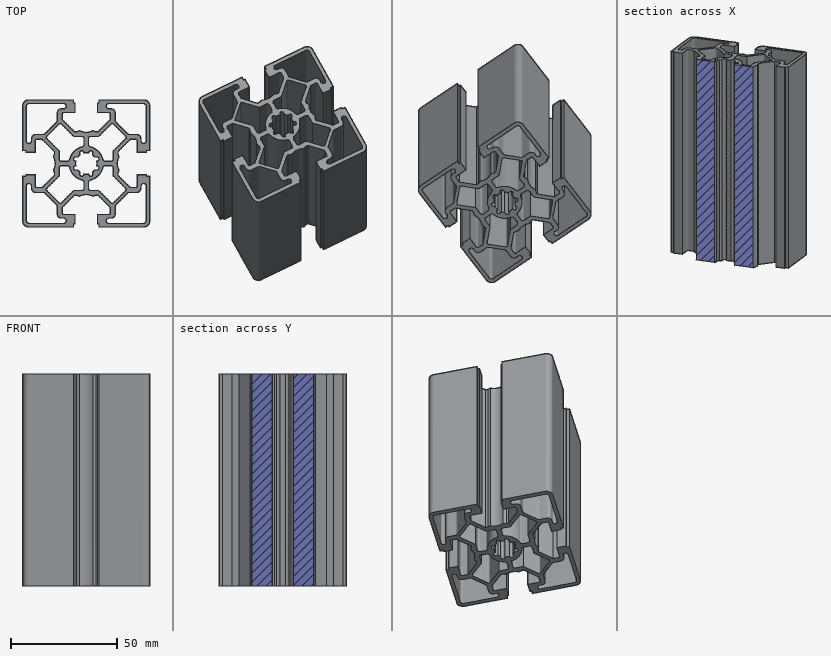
import cadquery as cq
import math

SIZE = 60.0
LENGTH = 100.0
CORNER_RADIUS = 3.0
HALF = SIZE / 2

MOUTH_HALF = 6.0
MOUTH_STEP_DEPTH = 1.5
LIP_GAP_HALF = 5.2
LIP_DEPTH = 6.0
SLOT_HALF = 11.3
SLOT_CORNER_RADIUS = 0.6
SLOT_FLOOR = 15.0
SLOT_SLANT = 9.4

RIDGE_OFFSET = 3.1
RIDGE_FOOT = 4.5
RIDGE_TOP = 15.5
TROUGH_BOTTOM = 14.7

OUTER_WALL = 1.8
CHAMBER_CORNER_RADIUS = CORNER_RADIUS - OUTER_WALL
TAIL_END = 9.5
TAIL_WIDTH = 2.4
TAIL_END_RADIUS = 1.1
SLOT_WALL = 2.4
BEND_RADIUS = 2.0
KNEE_RADIUS = 1.5
DIAGONAL_SUM = 33.5

DIAGONAL_WALL = 1.5
FLOOR_WALL = 2.3
SLOT_SIDE_WALL = 1.8
DIAMOND_TIP_RADIUS = 0.8
WEB_HALF = 1.1
WEB_FILLET = 1.0

CORE_RADIUS = 8.1
BORE_RADIUS = 5.0
GROOVE_INNER = 1.2
GROOVE_OUTER = 3.0
GROOVE_REACH = 6.0


def mirrored(points):
    """Points reflected across the x = y diagonal, in reverse order."""
    return [(y, x) for x, y in reversed(points)]


def prism(points):
    return cq.Workplane("XY").polyline(points).close().extrude(LENGTH)


def round_edges(solid, points, radius):
    """Round the lengthwise edges standing on the given points."""
    for x, y in points:
        nearest = cq.selectors.NearestToPointSelector((x, y, LENGTH / 2))
        solid = solid.edges("|Z").edges(nearest).fillet(radius)
    return solid


def slot():
    """T-slot opening on the +Y side."""
    lip_top = HALF - MOUTH_STEP_DEPTH
    lip_bottom = HALF - LIP_DEPTH
    right_side = [
        (RIDGE_OFFSET, RIDGE_TOP),
        (RIDGE_FOOT, SLOT_FLOOR),
        (SLOT_FLOOR - SLOT_SLANT, SLOT_FLOOR),
        (SLOT_HALF, SLOT_HALF + SLOT_SLANT),
        (SLOT_HALF, lip_bottom),
        (LIP_GAP_HALF, lip_bottom),
        (LIP_GAP_HALF, lip_top),
        (MOUTH_HALF, lip_top),
        (MOUTH_HALF, HALF),
    ]
    left_side = [(-x, y) for x, y in reversed(right_side)]
    outline = cq.Workplane("XY").polyline(right_side + left_side)
    trough_middle = (0, TROUGH_BOTTOM)
    cutter = outline.threePointArc(trough_middle, right_side[0]).close().extrude(LENGTH)
    corners = [(SLOT_HALF, lip_bottom), (-SLOT_HALF, lip_bottom)]
    return round_edges(cutter, corners, SLOT_CORNER_RADIUS)


def corner_chamber():
    """Hollow in the +X +Y corner."""
    outer = HALF - OUTER_WALL
    inner = outer - TAIL_WIDTH
    side = SLOT_HALF + SLOT_WALL
    bend = (side, inner)
    knee = (side, DIAGONAL_SUM - side)
    tail_tips = [(TAIL_END, inner), (TAIL_END, outer)]
    upper = [knee, bend] + tail_tips
    cutter = prism(upper + [(outer, outer)] + mirrored(upper))
    cutter = round_edges(cutter, [bend] + mirrored([bend]), BEND_RADIUS)
    cutter = round_edges(cutter, [knee] + mirrored([knee]), KNEE_RADIUS)
    cutter = round_edges(cutter, tail_tips + mirrored(tail_tips), TAIL_END_RADIUS)
    return round_edges(cutter, [(outer, outer)], CHAMBER_CORNER_RADIUS)


def diamond_chamber():
    """Hollow between the core, two webs and the slot walls, in the +X +Y quarter."""
    wall_slant = SLOT_SLANT - SLOT_SIDE_WALL * math.sqrt(2)
    tip_sum = DIAGONAL_SUM - DIAGONAL_WALL * math.sqrt(2)
    floor = SLOT_FLOOR - FLOOR_WALL
    web_top = (WEB_HALF, floor)
    tip = ((tip_sum - wall_slant) / 2, (tip_sum + wall_slant) / 2)
    upper = [web_top, (floor - wall_slant, floor), tip]
    core = cq.Workplane("XY").circle(CORE_RADIUS).extrude(LENGTH)
    cutter = prism([(WEB_HALF, WEB_HALF)] + upper + mirrored(upper)).cut(core)
    web_foot = (WEB_HALF, math.sqrt(CORE_RADIUS**2 - WEB_HALF**2))
    web_ends = [web_top, web_foot]
    cutter = round_edges(cutter, [tip] + mirrored([tip]), DIAMOND_TIP_RADIUS)
    return round_edges(cutter, web_ends + mirrored(web_ends), WEB_FILLET)


def bore_grooves():
    """Pair of grooves on the +Y side of the bore."""
    width = GROOVE_OUTER - GROOVE_INNER
    middle = (GROOVE_OUTER + GROOVE_INNER) / 2
    centres = [(-middle, GROOVE_REACH / 2), (middle, GROOVE_REACH / 2)]
    grooves = cq.Workplane("XY").pushPoints(centres).slot2D(GROOVE_REACH, width, 90)
    return grooves.extrude(LENGTH)


bar = cq.Workplane("XY").rect(SIZE, SIZE).extrude(LENGTH).edges("|Z").fillet(CORNER_RADIUS)
bar = bar.cut(cq.Workplane("XY").circle(BORE_RADIUS).extrude(LENGTH))

for cutter in (slot(), corner_chamber(), diamond_chamber(), bore_grooves()):
    for angle in (0, 90, 180, 270):
        bar = bar.cut(cutter.rotate((0, 0, 0), (0, 0, 1), angle))

result = bar